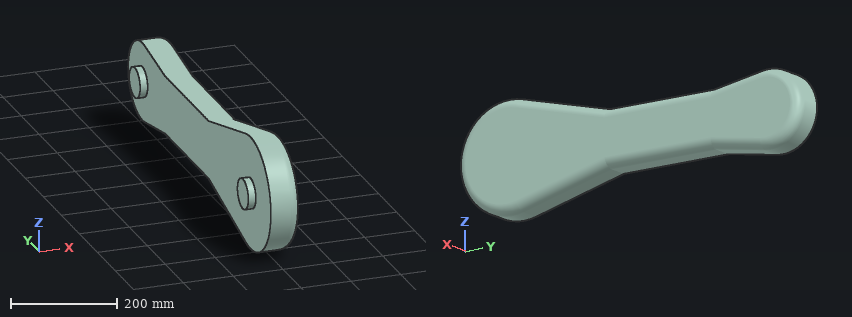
import cadquery as cq
import math

total_length = 793.0
plate_thickness = 60.0
edge_round = 20.0

large_radius = 227.5 / 2
small_radius = 158.0 / 2
pin_spacing = total_length - large_radius - small_radius

waist_half_width = 59.0
waist_start = 231.5
waist_to_small_centre = 126.0
waist_end = pin_spacing - waist_to_small_centre

pin_diameter = 60.0
pin_height = 15.0


def tangent_point(radius, corner_distance):
    """Point where a line from a waist corner touches an end circle.

    Returns (distance from the circle centre towards the waist, height above the centre line).
    """
    corner_angle = math.atan2(waist_half_width, corner_distance)
    reach = math.hypot(corner_distance, waist_half_width)
    angle = corner_angle + math.acos(radius / reach)
    return radius * math.cos(angle), radius * math.sin(angle)


def make_plate():
    """Link plate with its far face edge rounded."""
    large_along, large_up = tangent_point(large_radius, waist_start)
    small_along, small_up = tangent_point(small_radius, waist_to_small_centre)
    small_y = pin_spacing - small_along
    plate = (
        cq.Workplane("YZ")
        .moveTo(large_along, large_up)
        .lineTo(waist_start, waist_half_width)
        .lineTo(waist_end, waist_half_width)
        .lineTo(small_y, small_up)
        .threePointArc((pin_spacing + small_radius, 0), (small_y, -small_up))
        .lineTo(waist_end, -waist_half_width)
        .lineTo(waist_start, -waist_half_width)
        .lineTo(large_along, -large_up)
        .threePointArc((-large_radius, 0), (large_along, large_up))
        .close()
        .extrude(plate_thickness)
    )
    return plate.faces(">X").edges().fillet(edge_round)


def make_pins():
    """One short pin at the centre of each rounded end, pointing to -X."""
    return (
        cq.Workplane("YZ")
        .pushPoints([(0, 0), (pin_spacing, 0)])
        .circle(pin_diameter / 2)
        .extrude(-pin_height)
    )


result = make_plate().union(make_pins())